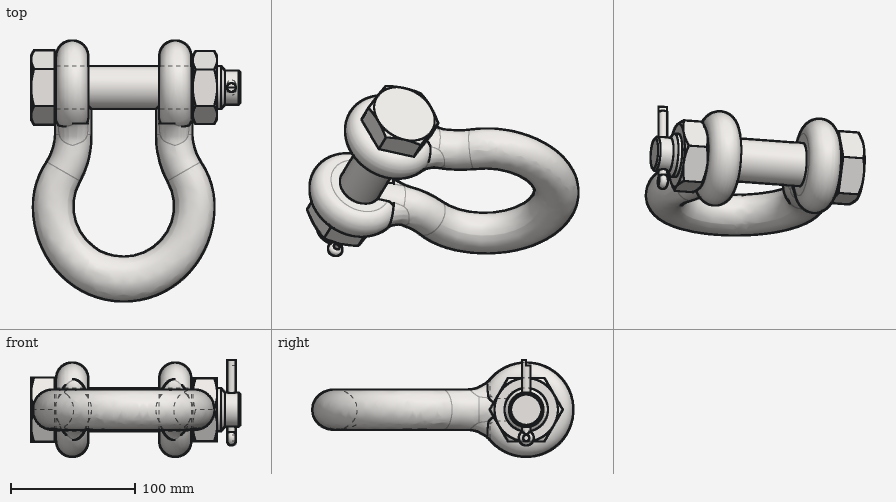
import cadquery as cq
import math


overall_length = 210.3

eye_radius = 38.0
eye_half_width = 13.0
eye_offset = 41.5
bow_center_y = -95.5
bow_radius = 56.8
bar_radius = 16.5
shoulder_angle = 30.0
shoulder_narrowing = 1.5
leg_offset = 40.5
leg_half_width = 14.7
neck_fillet_radius = 23.0
ring_section_count = 33
bend_section_count = 7
neck_section_count = 6
section_point_count = 24

shank_radius = 17.5
bearing_x = 55.5
head_thickness = 19.0
head_across_flats = 52.0
nut_thickness = 19.5
nut_across_flats = 50.9
hex_chamfer_angle = 30.0
shoulder_end_x = 78.2
tip_start_x = 81.4
tip_end_x = 93.8
tip_radius = 13.9
tip_chamfer = 1.7

cotter_x = 86.6
wire_radius = 3.5
front_leg_top = 40.0
back_leg_top = 35.5
loop_radius = 6.0
loop_bottom = -28.8
leg_entry = 0.6

crown_growth = overall_length - eye_radius + bow_center_y - bow_radius - bar_radius
shoulder_cos = math.cos(math.radians(shoulder_angle))
shoulder_sin = math.sin(math.radians(shoulder_angle))
leg_end_radius = bow_radius - shoulder_narrowing / 2
leg_bend_radius = (leg_end_radius * shoulder_cos - leg_offset) / (1 - shoulder_cos)
leg_bend_center_x = leg_offset + leg_bend_radius
leg_bend_center_y = bow_center_y + (leg_end_radius + leg_bend_radius) * shoulder_sin


def bar_section(half_width, half_height, center, outward):
    """Closed elliptic curve; its width lies along `outward` in the XY plane, its height along Z."""
    points = []
    for i in range(section_point_count):
        angle = 2 * math.pi * i / section_point_count
        rise = cq.Vector(0, 0, half_height * math.sin(angle))
        points.append(center + outward * (half_width * math.cos(angle)) + rise)
    return cq.Wire.assembleEdges([cq.Edge.makeSpline(points, periodic=True)])


def make_ring():
    """Round bow between the legs; the bar grows on its outer side toward the bottom."""
    sections = []
    for i in range(ring_section_count):
        share = i / (ring_section_count - 1)
        turn = math.radians(-shoulder_angle + share * (180 + 2 * shoulder_angle))
        depth = math.sin(turn)
        if depth > 0:
            growth = crown_growth * depth ** 2
        else:
            growth = -shoulder_narrowing * (depth / shoulder_sin) ** 2
        outward = cq.Vector(math.cos(turn), -math.sin(turn), 0)
        center = outward * (bow_radius + growth / 2) + cq.Vector(0, bow_center_y, 0)
        sections.append(bar_section(bar_radius + growth / 2, bar_radius, center, outward))
    return cq.Workplane(cq.Solid.makeLoft(sections))


def make_leg():
    """Straight run from the bolt axis, then a bend that leads into the round bow."""
    along_x = cq.Vector(1, 0, 0)
    top = bar_section(leg_half_width, bar_radius, cq.Vector(leg_offset, 0, 0), along_x)
    straight = cq.Workplane(cq.Solid.extrudeLinear(top, [], cq.Vector(0, leg_bend_center_y, 0)))

    bend_center = cq.Vector(leg_bend_center_x, leg_bend_center_y, 0)
    end_half_width = bar_radius - shoulder_narrowing / 2
    sections = []
    for i in range(bend_section_count):
        share = i / (bend_section_count - 1)
        turn = math.radians(share * shoulder_angle)
        outward = cq.Vector(math.cos(turn), math.sin(turn), 0)
        half_width = leg_half_width + share * (end_half_width - leg_half_width)
        center = bend_center - outward * leg_bend_radius
        sections.append(bar_section(half_width, bar_radius, center, outward))
    return straight.union(cq.Workplane(cq.Solid.makeLoft(sections)))


def make_eye():
    """Ring around the bolt with flat faces and a fully rounded rim."""
    rim_start = eye_radius - eye_half_width
    return (
        cq.Workplane("XY")
        .moveTo(eye_offset - eye_half_width, 0)
        .lineTo(eye_offset - eye_half_width, rim_start)
        .threePointArc((eye_offset, eye_radius), (eye_offset + eye_half_width, rim_start))
        .lineTo(eye_offset + eye_half_width, 0)
        .close()
        .revolve(360, (0, 0), (1, 0))
    )


def make_neck():
    """Loft of elliptic sections that follows the concave fillet from the eye to the leg."""
    fillet_center_z = bar_radius + neck_fillet_radius
    fillet_center_y = -math.sqrt((eye_radius + neck_fillet_radius) ** 2 - fillet_center_z ** 2)
    start_y = fillet_center_y * eye_radius / (eye_radius + neck_fillet_radius)
    sections = []
    for i in range(neck_section_count):
        share = i / (neck_section_count - 1)
        y = start_y + share * (fillet_center_y - start_y)
        half_height = fillet_center_z - math.sqrt(neck_fillet_radius ** 2 - (y - fillet_center_y) ** 2)
        half_width = eye_half_width + share * (leg_half_width - eye_half_width)
        bend_drop = max(0, leg_bend_center_y - y)
        x = leg_bend_center_x - math.sqrt(leg_bend_radius ** 2 - bend_drop ** 2)
        center = cq.Vector(x, y, 0)
        sections.append(bar_section(half_width, half_height, center, cq.Vector(1, 0, 0)))
    return cq.Workplane(cq.Solid.makeLoft(sections))


def make_bow():
    side = make_leg().union(make_eye()).union(make_neck())
    bolt_hole = cq.Workplane("YZ").circle(shank_radius).extrude(bearing_x, both=True)
    return make_ring().union(side).union(side.mirror("YZ")).cut(bolt_hole)


def make_hexagon(start_x, thickness, across_flats, chamfer_start):
    """Hexagon with two corners along Y; its outer end, and on request its start, is chamfered."""
    corner_radius = across_flats / 2 / math.cos(math.pi / 6)
    flat_radius = across_flats / 2
    rise = (corner_radius - flat_radius) * math.tan(math.radians(hex_chamfer_angle))
    prism = (
        cq.Workplane("YZ", origin=(start_x, 0, 0))
        .polygon(6, 2 * corner_radius)
        .extrude(thickness)
    )
    end_x = start_x + thickness
    envelope = cq.Workplane("XY").moveTo(start_x, 0)
    if chamfer_start:
        envelope = envelope.lineTo(start_x, flat_radius).lineTo(start_x + rise, corner_radius)
    else:
        envelope = envelope.lineTo(start_x, corner_radius)
    envelope = (
        envelope.lineTo(end_x - rise, corner_radius)
        .lineTo(end_x, flat_radius)
        .lineTo(end_x, 0)
        .close()
        .revolve(360, (0, 0), (1, 0))
    )
    return prism.intersect(envelope)


def make_shank():
    """Plain shank with a coned step down to the chamfered tip."""
    return (
        cq.Workplane("XY")
        .moveTo(-bearing_x, 0)
        .lineTo(-bearing_x, shank_radius)
        .lineTo(shoulder_end_x, shank_radius)
        .lineTo(tip_start_x, tip_radius)
        .lineTo(tip_end_x - tip_chamfer, tip_radius)
        .lineTo(tip_end_x, tip_radius - tip_chamfer)
        .lineTo(tip_end_x, 0)
        .close()
        .revolve(360, (0, 0), (1, 0))
    )


def make_cotter():
    """Split pin through the tip, with legs of unequal length and a loop below."""
    loop_z = loop_bottom + loop_radius
    flat_radius = loop_radius - wire_radius
    legs_bottom = loop_z + flat_radius + leg_entry

    def make_leg_half(side, top):
        return (
            cq.Workplane("XY", origin=(cotter_x, 0, legs_bottom))
            .moveTo(-wire_radius, 0)
            .threePointArc((0, side * wire_radius), (wire_radius, 0))
            .close()
            .extrude(top - legs_bottom)
        )

    loop = (
        cq.Workplane("XZ", origin=(cotter_x, 0, loop_z))
        .moveTo(-wire_radius, flat_radius)
        .threePointArc((0, loop_radius), (wire_radius, flat_radius))
        .close()
        .revolve(360, (0, 0), (1, 0))
    )
    return make_leg_half(-1, front_leg_top).union(make_leg_half(1, back_leg_top)).union(loop)


def make_bolt():
    head = make_hexagon(bearing_x, head_thickness, head_across_flats, False).mirror("YZ")
    nut = make_hexagon(bearing_x, nut_thickness, nut_across_flats, True)
    return make_shank().union(head).union(nut).union(make_cotter())


bow = make_bow()
bolt = make_bolt()
result = cq.Compound.makeCompound([bow.val(), bolt.val()])